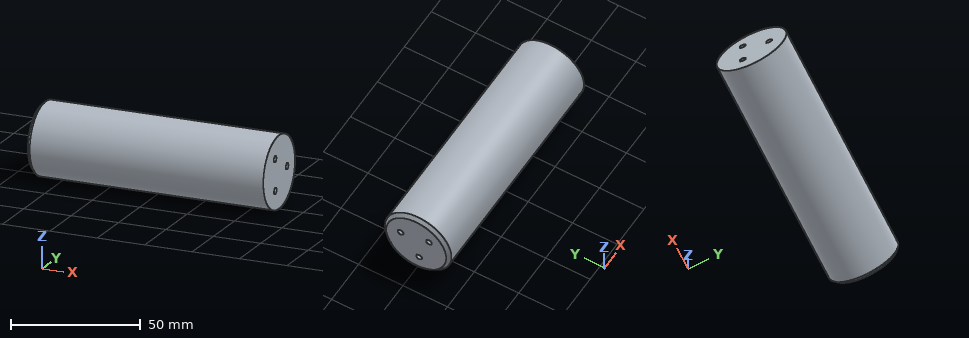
import cadquery as cq
import math

length = 100.0
diameter = 30.0
chamfer_size = 1.5

hole_diameter = 2.5
hole_circle_diameter = diameter / 2
hole_count = 3
first_hole_angle = 20.0
helix_angle = 30.0

lead = math.pi * diameter / math.tan(math.radians(helix_angle))
total_twist = 360 * length / lead


def make_body():
    """Round bar along X, chamfered at its -X end."""
    bar = cq.Workplane("YZ").circle(diameter / 2).extrude(length)
    return bar.faces("<X").chamfer(chamfer_size)


def make_helical_hole():
    """Through hole that starts on the Y axis and winds around the X axis."""
    section = cq.Workplane("YZ").center(hole_circle_diameter / 2, 0).circle(hole_diameter / 2)
    return section.center(-hole_circle_diameter / 2, 0).twistExtrude(length, total_twist)


result = make_body()

helical_hole = make_helical_hole()
for index in range(hole_count):
    hole_angle = first_hole_angle + index * 360 / hole_count
    result = result.cut(helical_hole.rotate((0, 0, 0), (1, 0, 0), hole_angle))